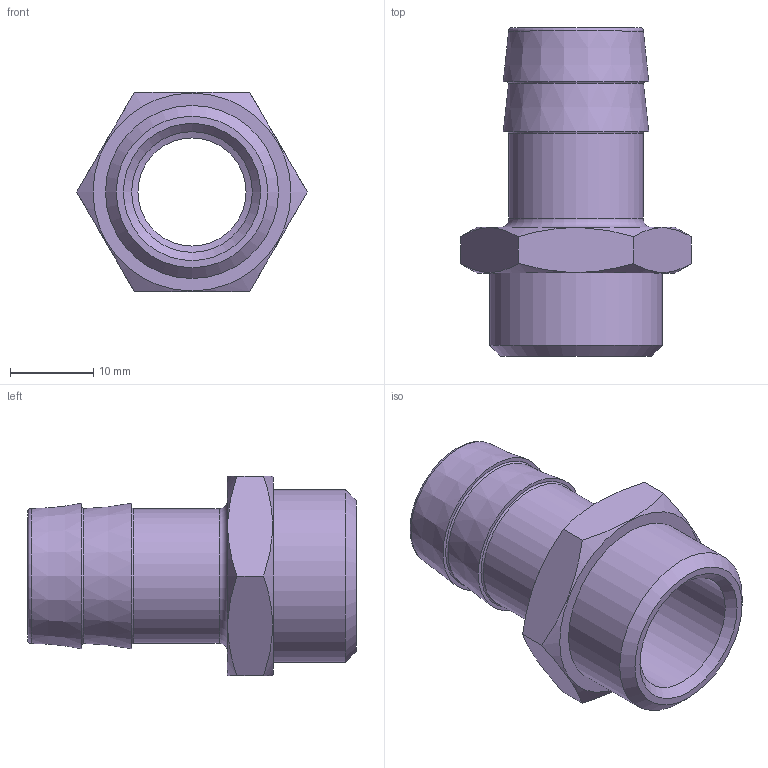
import cadquery as cq
import math

HEX_START = 10.0
HEX_WIDTH = 5.5
HEX_END = HEX_START + HEX_WIDTH
BARB_EDGES = (27.0, 33.0)
TOTAL_LENGTH = 39.5

ACROSS_FLATS = 24.0
ACROSS_CORNERS = ACROSS_FLATS / math.cos(math.radians(30))
HEX_CHAMFER_ANGLE = 30.0
HEX_FACE_RADIUS = 11.9

THREAD_RADIUS = 20.8 / 2
THREAD_CHAMFER = 1.3

SHANK_RADIUS = 16.2 / 2
BARB_RADIUS = 17.5 / 2
SHANK_FILLET = 1.0
BARB_ROOT_FILLET = 0.2
TIP_FILLET = 0.4

BORE_RADIUS = 13.0 / 2
WIDE_BORE_RADIUS = 14.5 / 2
WIDE_BORE_DEPTH = HEX_START + HEX_WIDTH / 2
BORE_CHAMFER = 1.0
SHOULDER_ANGLE = 67.5


def revolve_about_y(profile):
    return profile.close().revolve(360, (0, 0, 0), (0, 1, 0))


def make_thread_end():
    profile = (
        cq.Workplane("XY")
        .lineTo(THREAD_RADIUS - THREAD_CHAMFER, 0)
        .lineTo(THREAD_RADIUS, THREAD_CHAMFER)
        .lineTo(THREAD_RADIUS, HEX_START)
        .lineTo(0, HEX_START)
    )
    return revolve_about_y(profile)


def make_hex():
    """Hexagon with corners on the X axis, turned to a cone at both ends."""
    corner_radius = ACROSS_CORNERS / 2
    slope = math.tan(math.radians(HEX_CHAMFER_ANGLE))
    chamfer_length = (corner_radius - HEX_FACE_RADIUS) * slope
    prism = (
        cq.Workplane("XZ", origin=(0, HEX_START, 0))
        .polygon(6, ACROSS_CORNERS)
        .extrude(-HEX_WIDTH)
    )
    envelope = (
        cq.Workplane("XY")
        .moveTo(0, HEX_START)
        .lineTo(HEX_FACE_RADIUS, HEX_START)
        .lineTo(corner_radius, HEX_START + chamfer_length)
        .lineTo(corner_radius, HEX_END - chamfer_length)
        .lineTo(HEX_FACE_RADIUS, HEX_END)
        .lineTo(0, HEX_END)
    )
    return prism.intersect(revolve_about_y(envelope))


def make_hose_end():
    """Shank with a concave root at the hexagon, barbs and a rounded tip."""
    profile = (
        cq.Workplane("XY")
        .moveTo(0, HEX_END)
        .lineTo(SHANK_RADIUS + SHANK_FILLET, HEX_END)
        .radiusArc((SHANK_RADIUS, HEX_END + SHANK_FILLET), SHANK_FILLET)
        .lineTo(SHANK_RADIUS, BARB_EDGES[0] - BARB_ROOT_FILLET)
    )
    taper_ends = [edge - BARB_ROOT_FILLET for edge in BARB_EDGES[1:]]
    taper_ends.append(TOTAL_LENGTH - TIP_FILLET)
    for edge, taper_end in zip(BARB_EDGES, taper_ends):
        profile = (
            profile.radiusArc((SHANK_RADIUS + BARB_ROOT_FILLET, edge), BARB_ROOT_FILLET)
            .lineTo(BARB_RADIUS, edge)
            .lineTo(SHANK_RADIUS, taper_end)
        )
    profile = (
        profile.radiusArc((SHANK_RADIUS - TIP_FILLET, TOTAL_LENGTH), -TIP_FILLET)
        .lineTo(0, TOTAL_LENGTH)
    )
    return revolve_about_y(profile)


def make_bore():
    shoulder_length = (WIDE_BORE_RADIUS - BORE_RADIUS) / math.tan(math.radians(SHOULDER_ANGLE))
    profile = (
        cq.Workplane("XY")
        .lineTo(WIDE_BORE_RADIUS + BORE_CHAMFER, 0)
        .lineTo(WIDE_BORE_RADIUS, BORE_CHAMFER)
        .lineTo(WIDE_BORE_RADIUS, WIDE_BORE_DEPTH)
        .lineTo(BORE_RADIUS, WIDE_BORE_DEPTH + shoulder_length)
        .lineTo(BORE_RADIUS, TOTAL_LENGTH)
        .lineTo(0, TOTAL_LENGTH)
    )
    return revolve_about_y(profile)


result = make_thread_end().union(make_hex()).union(make_hose_end()).cut(make_bore())